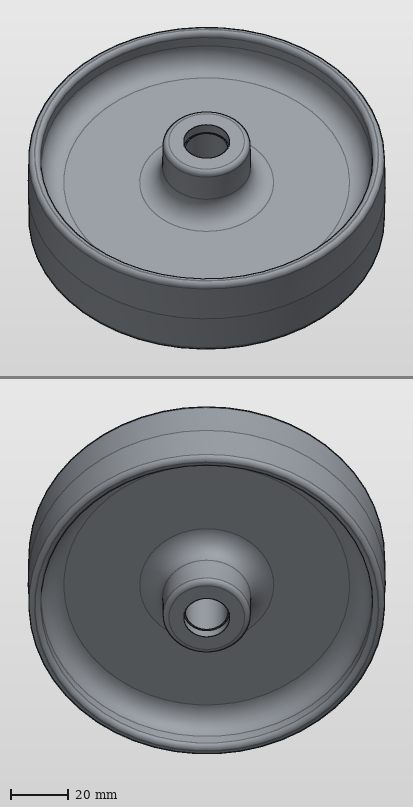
import cadquery as cq
import math

tread_radius = 62.5
tread_half_width = 17.0
rim_inner_radius = 58.0
web_half_thickness = 3.0
hub_half_length = 24.0
hub_end_radius = 15.2
edge_fillet = 2.0
web_fillet = 8.0
draft_slope = math.tan(math.radians(1.0))

bore_radius = 8.0
bush_inner_radius = 7.5
bush_recess = 4.0
bush_half_length = hub_half_length - bush_recess

tread_edge_radius = tread_radius - tread_half_width * draft_slope
rim_foot_radius = rim_inner_radius - web_fillet * draft_slope
rim_edge_radius = rim_foot_radius + (tread_half_width - web_half_thickness) * draft_slope
hub_foot_radius = hub_end_radius + (hub_half_length - web_half_thickness) * draft_slope


def edges_within(radius, height):
    """Box selector for the circular edges at one height, up to and including one radius."""
    margin = 0.05
    return cq.selectors.BoxSelector(
        (-radius - margin, -radius - margin, height - margin),
        (radius + margin, radius + margin, height + margin),
        boundingbox=True,
    )


def make_wheel_half():
    """Upper half of the wheel, revolved from its drafted section with sharp corners."""
    section = [
        (bore_radius, 0),
        (tread_radius, 0),
        (tread_edge_radius, tread_half_width),
        (rim_edge_radius, tread_half_width),
        (rim_foot_radius, web_half_thickness),
        (hub_foot_radius, web_half_thickness),
        (hub_end_radius, hub_half_length),
        (bore_radius, hub_half_length),
    ]
    half = cq.Workplane("XZ").polyline(section).close().revolve(360, (0, 0, 0), (0, 1, 0))

    half = half.edges(edges_within(rim_foot_radius, web_half_thickness)).fillet(web_fillet)

    half = half.edges(edges_within(tread_edge_radius, tread_half_width)).fillet(edge_fillet)

    hub_end_edges = half.edges(edges_within(hub_end_radius, hub_half_length))
    return hub_end_edges.edges(cq.selectors.RadiusNthSelector(-1)).fillet(edge_fillet)


def make_wheel():
    upper_half = make_wheel_half()
    lower_half = upper_half.mirror("XY")
    return upper_half.union(lower_half)


def make_bush():
    section = cq.Workplane("XY").circle(bore_radius).circle(bush_inner_radius)
    return section.extrude(bush_half_length, both=True)


wheel = make_wheel()
bush = make_bush()

result = cq.Compound.makeCompound([wheel.val(), bush.val()])